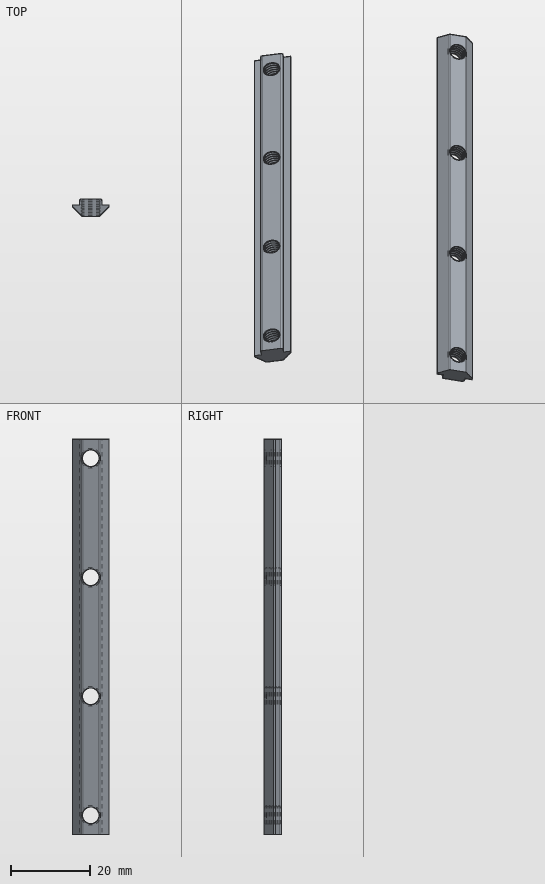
import cadquery as cq

length = 100.0
width = 9.3
thickness = 4.5
head_width = 5.7
head_height = 1.5
lip_height = 0.5
head_round = 0.5
nose_round = 0.5

hole_count = 4
hole_pitch = 30.1
bore_diameter = 4.2
thread_diameter = 5.0
thread_pitch = 0.8
groove_width = 0.7

half_width = width / 2
half_head = head_width / 2
front = -thickness / 2
back = thickness / 2
lip_back = back - head_height
lip_front = lip_back - lip_height
half_nose = half_width - (lip_front - front)


def rail_body():
    """Nut rail: narrow head at the back, wide lips and 45 degree flanks to a flat nose."""
    right_side = [
        (half_nose, front),
        (half_width, lip_front),
        (half_width, lip_back),
        (half_head, lip_back),
        (half_head, back),
    ]
    left_side = [(-x, y) for x, y in reversed(right_side)]
    body = (
        cq.Workplane("XY")
        .workplane(offset=-length / 2)
        .polyline(right_side + left_side)
        .close()
        .extrude(length)
    )
    body = body.faces(">Y").edges("|Z").fillet(head_round)
    return body.faces("<Y").edges("|Z").fillet(nose_round)


def threaded_hole():
    """Tapped hole along Y at the origin, its thread simplified to a stack of V grooves."""
    bore = bore_diameter / 2
    crest = thread_diameter / 2
    half_groove = groove_width / 2
    turns = int(thickness / thread_pitch)
    outline = [(0, front), (bore, front)]
    for turn in range(turns):
        middle = (turn - (turns - 1) / 2) * thread_pitch
        outline += [
            (bore, middle - half_groove),
            (crest, middle),
            (bore, middle + half_groove),
        ]
    outline += [(bore, back), (0, back)]
    return cq.Workplane("XY").polyline(outline).close().revolve(360, (0, 0, 0), (0, 1, 0))


result = rail_body()
for index in range(hole_count):
    z = (index - (hole_count - 1) / 2) * hole_pitch
    result = result.cut(threaded_hole().translate((0, 0, z)))